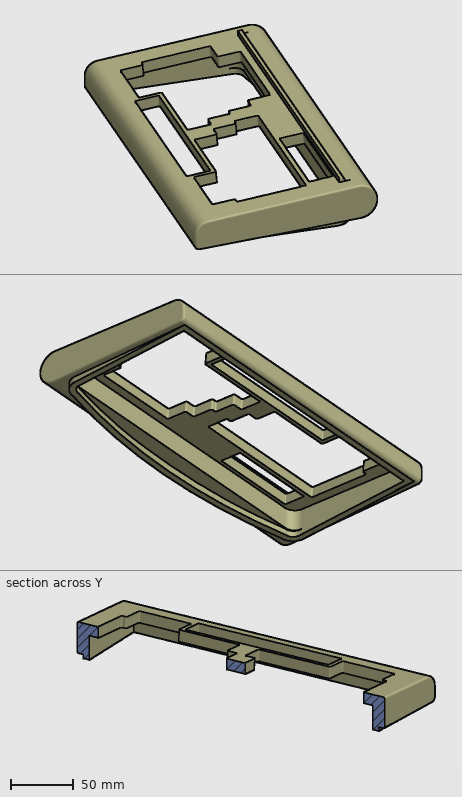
import cadquery as cq
import math

length = 288.7
depth = 152.7
height = 39.3
half_length = length / 2
back_y = depth / 2
front_y = -back_y

back_radius = 15.0
back_center_z = 21.5
front_top_radius = 12.0
front_top_center_z = 12.7
front_bottom_radius = 4.3
end_fillet = 1.7

key_pitch = 19.0
key_gap = 1.0
plate_thickness = 9.8
first_row = -54.3
keys_side_x = 124.5
bottom_bay_inner_x = 71.0
top_bay_left_x = -105.5
top_bay_right_x = -27.7
right_keys_left_x = -0.5
space_bar_back = -39.0
function_keys_front = 26.8
function_keys_right_x = 119.8
opening_fillet = 1.27
slot_fillet = 0.8

lip_half_length = 132.0
lip_front_y = 48.0
lip_crest_y = 51.5
lip_back_y = 56.5
lip_ramp_radius = 8.7
lip_ramp_sweep = math.radians(25)
lip_end_fillet = 0.8
lip_embed = 1.5

cavity_half_length = 132.8
cavity_back_y = 50.8
cavity_corner_radius = 9.2

rim_thickness = 5.8
foot_half_length = cavity_half_length + rim_thickness
foot_front_y = -72.2
foot_back_y = 57.2
foot_bulge_y = 71.5
foot_corner_radius = 13.3
foot_height = 11.5
cavity_front_y = foot_front_y + rim_thickness


def on_circle(center, radius, angle):
    """Point of a circle in the YZ plane, angle counted from +Y towards +Z."""
    return (center[0] + radius * math.cos(angle), center[1] + radius * math.sin(angle))


def tangent_tilt(front_center, front_radius, back_center, back_radius, side):
    """Tilt of the line touching both circles from above (side 1) or below (side -1)."""
    run = back_center[0] - front_center[0]
    rise = back_center[1] - front_center[1]
    spread = math.asin((back_radius - front_radius) / math.hypot(run, rise))
    return math.atan2(rise, run) + side * spread


back_center = (back_y - back_radius, back_center_z)
front_top_center = (front_y + front_top_radius, front_top_center_z)
front_bottom_center = (front_y + front_bottom_radius, front_bottom_radius)
top_tilt = tangent_tilt(front_top_center, front_top_radius, back_center, back_radius, 1)
bottom_tilt = tangent_tilt(front_bottom_center, front_bottom_radius, back_center, back_radius, -1)
top_normal = math.pi / 2 + top_tilt
bottom_normal = 3 * math.pi / 2 + bottom_tilt
top_back_point = on_circle(back_center, back_radius, top_normal)


def top_z(y):
    """Height of the tilted top face."""
    return top_back_point[1] + (y - top_back_point[0]) * math.tan(top_tilt)


top_plane = cq.Plane(
    origin=(0, 0, top_z(0)),
    xDir=(1, 0, 0),
    normal=(0, math.cos(top_normal), math.sin(top_normal)),
)


def make_body():
    """Wedge with a round back, a round upper front edge and softened ends."""
    front_top_middle = (top_normal + math.pi) / 2
    front_bottom_middle = (math.pi + bottom_normal) / 2
    profile = (
        cq.Workplane("YZ")
        .moveTo(*top_back_point)
        .lineTo(*on_circle(front_top_center, front_top_radius, top_normal))
        .threePointArc(
            on_circle(front_top_center, front_top_radius, front_top_middle),
            (front_y, front_top_center_z),
        )
        .lineTo(front_y, front_bottom_radius)
        .threePointArc(
            on_circle(front_bottom_center, front_bottom_radius, front_bottom_middle),
            on_circle(front_bottom_center, front_bottom_radius, bottom_normal),
        )
        .lineTo(*on_circle(back_center, back_radius, bottom_normal))
        .threePointArc((back_y, back_center_z), top_back_point)
        .close()
    )
    body = profile.extrude(half_length, both=True)
    return body.faces("<X or >X").edges().fillet(end_fillet)


def make_lip():
    """Ridge with a concave run-up at the back, a tilted crest and an upright front."""
    start = (lip_back_y, top_z(lip_back_y))
    ramp_center = on_circle(start, lip_ramp_radius, top_normal)
    ramp_start = top_normal + math.pi
    crest_front_z = height + (lip_front_y - lip_crest_y) * math.tan(top_tilt)
    profile = (
        cq.Workplane("YZ")
        .moveTo(*start)
        .threePointArc(
            on_circle(ramp_center, lip_ramp_radius, ramp_start - lip_ramp_sweep / 2),
            on_circle(ramp_center, lip_ramp_radius, ramp_start - lip_ramp_sweep),
        )
        .lineTo(lip_crest_y, height)
        .lineTo(lip_front_y, crest_front_z)
        .lineTo(lip_front_y, top_z(lip_front_y) - lip_embed)
        .lineTo(lip_back_y, top_z(lip_back_y) - lip_embed)
        .close()
    )
    lip = profile.extrude(lip_half_length, both=True)
    crest_middle = ((lip_front_y + lip_crest_y) / 2, (crest_front_z + height) / 2)
    for side in (-1, 1):
        crest_end = cq.selectors.NearestToPointSelector((side * lip_half_length, *crest_middle))
        lip = lip.edges(crest_end).fillet(lip_end_fillet)
    return lip


def make_foot_rim():
    """Closed rim whose back edge bulges out in the middle."""

    def outline(inset):
        side = foot_half_length - inset
        front = foot_front_y + inset
        back = foot_back_y - inset
        radius = foot_corner_radius - inset
        corner_x = side - radius
        corner_y = back - radius
        diagonal = radius * math.sqrt(0.5)
        return (
            cq.Workplane("XY")
            .moveTo(-side, front)
            .lineTo(side, front)
            .lineTo(side, corner_y)
            .threePointArc((corner_x + diagonal, corner_y + diagonal), (corner_x, back))
            .threePointArc((0, foot_bulge_y - inset), (-corner_x, back))
            .threePointArc((-corner_x - diagonal, corner_y + diagonal), (-side, corner_y))
            .close()
        )

    return outline(0).extrude(foot_height).cut(outline(rim_thickness).extrude(foot_height))


def make_cavity():
    """Space below the plate, open at the bottom."""
    cavity = (
        cq.Workplane("XY")
        .center(0, (cavity_front_y + cavity_back_y) / 2)
        .rect(2 * cavity_half_length, cavity_back_y - cavity_front_y)
        .extrude(height)
        .edges("|Z and >Y")
        .fillet(cavity_corner_radius)
    )
    above_plate_bottom = (
        cq.Workplane(top_plane)
        .workplane(offset=-plate_thickness)
        .rect(2 * length, 2 * length)
        .extrude(height)
    )
    return cavity.cut(above_plate_bottom)


def cut_through_plate(outline, fillet):
    """Opening square to the top face, with rounded corners."""
    corners = cq.selectors.ParallelDirSelector(top_plane.zDir)
    return outline.extrude(height, both=True).edges(corners).fillet(fillet)


def make_key_openings():
    """Two stepped main openings following the stagger of the key rows."""
    rows = [first_row + row * key_pitch for row in range(5)]
    row_backs = [row + key_gap for row in rows]
    top_back = row_backs[4] + key_pitch
    quarter = key_pitch / 4
    half = key_pitch / 2
    bottom_bay_outer_x = keys_side_x - quarter

    left_step_1 = top_bay_right_x + half
    left_step_2 = left_step_1 + quarter
    left_step_3 = left_step_2 + half
    left_points = [
        (-bottom_bay_outer_x, rows[0]),
        (-bottom_bay_inner_x, rows[0]),
        (-bottom_bay_inner_x, rows[1]),
        (left_step_3, rows[1]),
        (left_step_3, row_backs[2]),
        (left_step_2, row_backs[2]),
        (left_step_2, row_backs[3]),
        (left_step_1, row_backs[3]),
        (left_step_1, row_backs[4]),
        (top_bay_right_x, row_backs[4]),
        (top_bay_right_x, top_back),
        (top_bay_left_x, top_back),
        (top_bay_left_x, row_backs[4]),
        (-keys_side_x, row_backs[4]),
        (-keys_side_x, rows[1]),
        (-bottom_bay_outer_x, rows[1]),
    ]

    right_step_1 = right_keys_left_x + quarter
    right_step_2 = right_step_1 + half
    right_points = [
        (bottom_bay_inner_x, rows[0]),
        (bottom_bay_outer_x, rows[0]),
        (bottom_bay_outer_x, rows[1]),
        (keys_side_x, rows[1]),
        (keys_side_x, row_backs[4]),
        (right_keys_left_x, row_backs[4]),
        (right_keys_left_x, rows[3]),
        (right_step_1, rows[3]),
        (right_step_1, rows[2]),
        (right_step_2, rows[2]),
        (right_step_2, rows[1]),
        (bottom_bay_inner_x, rows[1]),
    ]
    return [
        cut_through_plate(cq.Workplane(top_plane).polyline(points).close(), opening_fillet)
        for points in (left_points, right_points)
    ]


def make_slot(center_x, center_v, keys_wide):
    """Rectangular opening for one row of the given number of key widths."""
    width = keys_wide * key_pitch + key_gap
    outline = cq.Workplane(top_plane).center(center_x, center_v).rect(width, key_pitch + key_gap)
    return cut_through_plate(outline, slot_fillet)


slot_half_depth = (key_pitch + key_gap) / 2
space_bar_keys = 7
function_keys = 4
function_keys_center_x = function_keys_right_x - (function_keys * key_pitch + key_gap) / 2
openings = make_key_openings()
openings.append(make_slot(0, space_bar_back - slot_half_depth, space_bar_keys))
openings.append(make_slot(function_keys_center_x, function_keys_front + slot_half_depth, function_keys))

result = make_body().union(make_lip()).cut(make_cavity()).union(make_foot_rim())
for opening in openings:
    result = result.cut(opening)